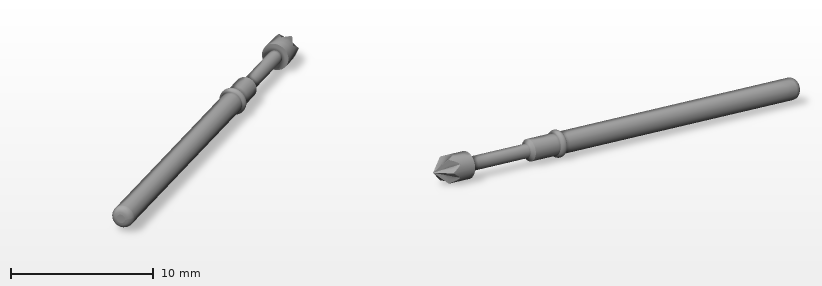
import cadquery as cq
import math

length = 32.3
tip_y = length / 2
end_y = -length / 2

head_radius = 1.0
head_length = 2.97
stem_radius = 0.52

barrel_radius = 0.8
mouth_from_tip = 8.27
mouth_chamfer_length = 0.25
end_rounding = 0.5

ring_radius = 1.0
ring_width = 0.58
ring_from_tip = 11.0

ridge_count = 6
ridge_half_angle = 45.0
valley_half_angle = 29.5

head_back_y = tip_y - head_length
mouth_y = tip_y - mouth_from_tip
shoulder_y = mouth_y - mouth_chamfer_length
ring_y = tip_y - ring_from_tip
tip_depth = head_radius / math.tan(math.radians(valley_half_angle))


def make_barrel_and_stem():
    """Revolve the half outline of the stem, barrel, press ring and rounded end."""
    ring_front_y = ring_y + ring_width / 2
    ring_back_y = ring_y - ring_width / 2
    rounding_y = end_y + end_rounding
    end_face_radius = barrel_radius - end_rounding
    rounding_mid = end_rounding * math.sqrt(0.5)
    return (
        cq.Workplane("XY")
        .moveTo(0, head_back_y)
        .lineTo(stem_radius, head_back_y)
        .lineTo(stem_radius, mouth_y)
        .lineTo(barrel_radius, shoulder_y)
        .lineTo(barrel_radius, ring_front_y)
        .threePointArc((ring_radius, ring_y), (barrel_radius, ring_back_y))
        .lineTo(barrel_radius, rounding_y)
        .threePointArc(
            (end_face_radius + rounding_mid, rounding_y - rounding_mid),
            (end_face_radius, end_y),
        )
        .lineTo(0, end_y)
        .close()
        .revolve(360, (0, 0, 0), (0, 1, 0))
    )


def make_star_point():
    """Build the star-based pyramid whose flat flanks form the ridges and valleys."""
    point = cq.Vector(0, tip_y, 0)
    corners = []
    for index in range(2 * ridge_count):
        half_angle = ridge_half_angle if index % 2 == 0 else valley_half_angle
        radius = tip_depth * math.tan(math.radians(half_angle))
        turn = math.pi * index / ridge_count
        corners.append(cq.Vector(radius * math.cos(turn), tip_y - tip_depth, radius * math.sin(turn)))
    faces = [cq.Face.makeFromWires(cq.Wire.makePolygon(corners, close=True))]
    for index, corner in enumerate(corners):
        flank = cq.Wire.makePolygon([point, corner, corners[index - 1]], close=True)
        faces.append(cq.Face.makeFromWires(flank))
    return cq.Workplane(cq.Solid.makeSolid(cq.Shell.makeShell(faces)))


def make_head_rod(rod_length):
    """Make a rod of head diameter running forward from the back of the head."""
    back = cq.Workplane("XZ", origin=(0, head_back_y, 0))
    return back.circle(head_radius).extrude(-rod_length)


def make_head():
    """Trim the star point to the head diameter and join it to the plain rear of the head."""
    fluted_tip = make_head_rod(head_length).intersect(make_star_point())
    rear = make_head_rod(head_length - tip_depth)
    return fluted_tip.union(rear)


result = make_barrel_and_stem().union(make_head())